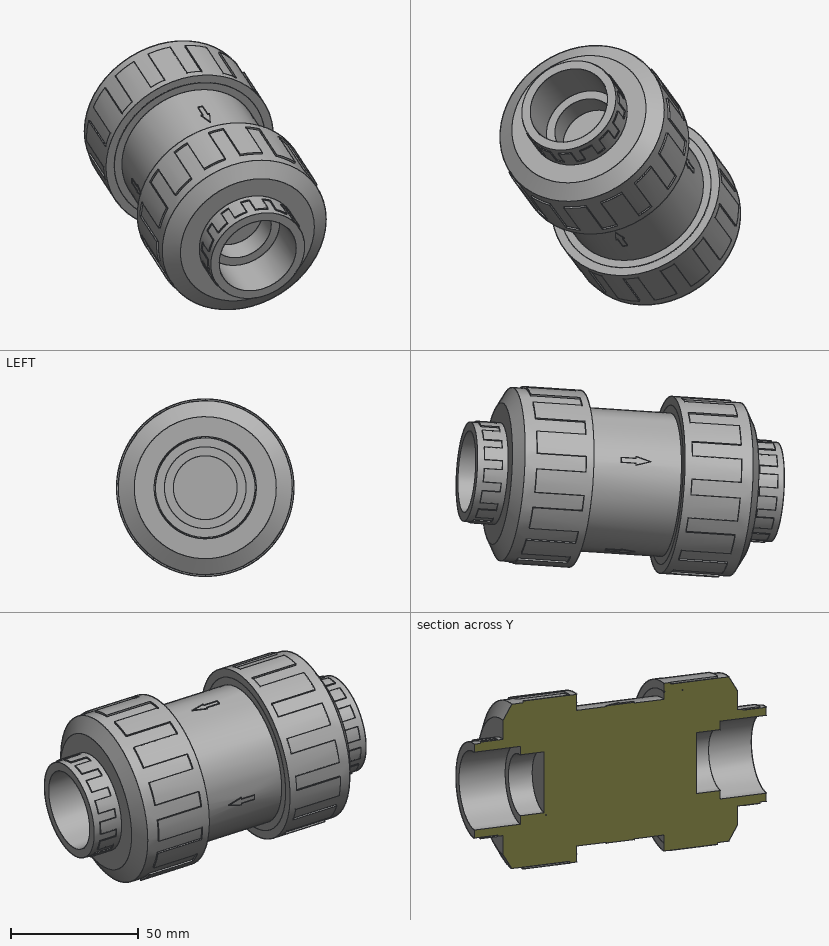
import cadquery as cq
import math

length = 123.0
half_length = length / 2
nut_outer_x = 49.4
nut_inner_x = 18.25
nut_chamfer_x = 45.7
nut_grip_inner_x = 21.25
nut_grip_outer_x = 41.0
collar_grip_inner_x = 51.6
collar_grip_outer_x = 58.8

nut_diameter = 69.5
nut_recess_diameter = 68.11
nut_face_diameter = 55.6
collar_diameter = 40.0
collar_recess_diameter = 39.0
body_diameter = 56.3
flange_diameter = 62.53
nut_bore_diameter = 62.55
socket_diameter = 32.0
seat_diameter = 25.0

socket_depth = 19.4
seat_depth = 10.0
flange_gap_depth = 0.5

grip_count = 14
grip_pitch = 360.0 / grip_count
grip_recess_angle = 0.4 * grip_pitch

arrow_count = 4
arrow_length = 11.8
arrow_head_length = arrow_length / 2
arrow_head_width = 3.6
arrow_shaft_width = 2.0
arrow_height = 0.3

cut_margin = 1.0
overlap = 1.0


def disc(diameter, x_start, x_end):
    """Solid cylinder about the X axis."""
    return cq.Workplane("YZ", origin=(x_start, 0, 0)).circle(diameter / 2).extrude(x_end - x_start)


def ring(outer_diameter, inner_diameter, x_start, x_end):
    """Tube about the X axis."""
    plane = cq.Workplane("YZ", origin=(x_start, 0, 0))
    return plane.circle(outer_diameter / 2).circle(inner_diameter / 2).extrude(x_end - x_start)


def grip_recesses(outer_diameter, floor_diameter, x_inner, x_outer):
    """Ring of shallow pockets whose floors lie on the floor cylinder.

    The first pocket starts on the +Z axis and opens towards -Y.
    """
    shell = ring(outer_diameter + cut_margin, floor_diameter, x_inner, x_outer)
    reach = outer_diameter
    end_angle = math.radians(grip_recess_angle)
    sector = (
        cq.Workplane("YZ", origin=(x_inner, 0, 0))
        .polyline([(0, 0), (0, reach), (-reach * math.sin(end_angle), reach * math.cos(end_angle))])
        .close()
        .extrude(x_outer - x_inner)
    )
    sectors = cq.Workplane("YZ")
    for index in range(grip_count):
        sectors = sectors.add(sector.rotate((0, 0, 0), (1, 0, 0), index * grip_pitch))
    return shell.intersect(sectors.combine())


def end_assembly():
    """Union nut and end collar on the +X side."""
    profile = [
        (nut_inner_x, 0),
        (nut_inner_x, nut_diameter / 2),
        (nut_grip_outer_x, nut_diameter / 2),
        (nut_grip_outer_x, nut_recess_diameter / 2),
        (nut_chamfer_x, nut_recess_diameter / 2),
        (nut_outer_x, nut_face_diameter / 2),
        (nut_outer_x, collar_diameter / 2),
        (collar_grip_outer_x, collar_diameter / 2),
        (collar_grip_outer_x, collar_recess_diameter / 2),
        (half_length, collar_recess_diameter / 2),
        (half_length, 0),
    ]
    end = cq.Workplane("XY").polyline(profile).close().revolve(360, (0, 0, 0), (1, 0, 0))
    end = end.cut(grip_recesses(nut_diameter, nut_recess_diameter, nut_grip_inner_x, nut_grip_outer_x))
    end = end.cut(
        grip_recesses(collar_diameter, collar_recess_diameter, collar_grip_inner_x, collar_grip_outer_x)
    )
    end = end.cut(ring(nut_bore_diameter, flange_diameter, nut_inner_x, nut_inner_x + flange_gap_depth))
    socket_floor_x = half_length - socket_depth
    end = end.cut(disc(socket_diameter, socket_floor_x, half_length))
    return end.cut(disc(seat_diameter, socket_floor_x - seat_depth, socket_floor_x))


def flow_arrow():
    """Raised arrow on the +Z side of the body, pointing along +X."""
    tail_x = -arrow_length / 2
    tip_x = arrow_length / 2
    head_x = tip_x - arrow_head_length
    outline = [
        (tail_x, -arrow_shaft_width / 2),
        (head_x, -arrow_shaft_width / 2),
        (head_x, -arrow_head_width / 2),
        (tip_x, 0),
        (head_x, arrow_head_width / 2),
        (head_x, arrow_shaft_width / 2),
        (tail_x, arrow_shaft_width / 2),
    ]
    prism = cq.Workplane("XY").polyline(outline).close().extrude(body_diameter)
    shell = ring(body_diameter + 2 * arrow_height, body_diameter - overlap, tail_x, tip_x)
    return prism.intersect(shell)


end = end_assembly()
result = disc(body_diameter, -nut_inner_x, nut_inner_x)
result = result.union(end)
result = result.union(end.rotate((0, 0, 0), (0, 0, 1), 180))
for index in range(arrow_count):
    result = result.union(flow_arrow().rotate((0, 0, 0), (1, 0, 0), index * 360.0 / arrow_count))